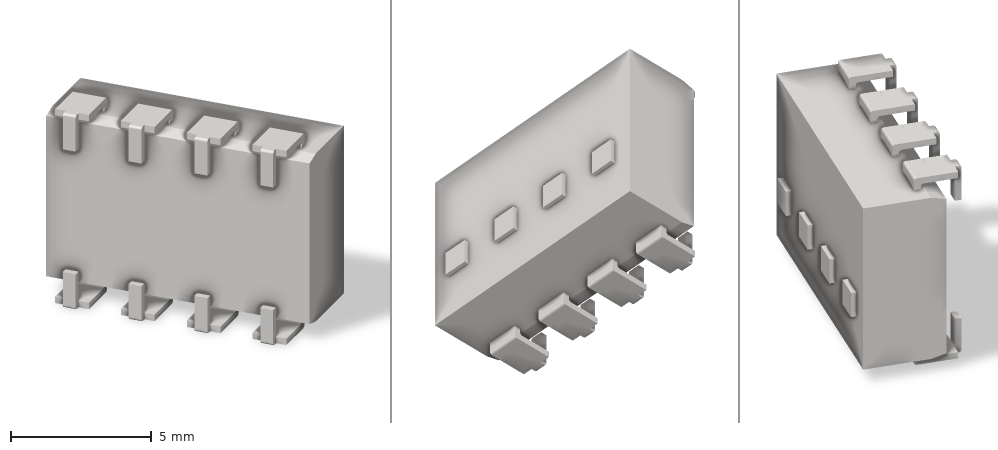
import cadquery as cq

body_length = 10.16
body_depth = 3.1
body_height = 6.58
bevel_depth = 0.57
bevel_drop = 0.14

position_count = 4
pitch = body_length / position_count

slider_size = 1.0
slider_projection = 0.2
slider_z = -1.04

lead_span = 7.62
lead_thickness = 0.25
lead_width = 1.3
foot_width = 0.5
foot_length = 1.4
foot_standoff = 0.89
lead_depth = 1.9
bend_radius = 0.1
lead_embed = 0.2

lead_top = lead_span / 2
root_back = lead_depth - foot_standoff
foot_back = lead_thickness - foot_standoff


def make_body():
    """Block whose front top and bottom edges carry a shallow bevel."""
    half_height = body_height / 2
    front_half_height = half_height - bevel_drop
    outline = [
        (0, -front_half_height),
        (bevel_depth, -half_height),
        (body_depth, -half_height),
        (body_depth, half_height),
        (bevel_depth, half_height),
        (0, front_half_height),
    ]
    return cq.Workplane("YZ").polyline(outline).close().extrude(body_length / 2, both=True)


def lead_slab(width, y_front, y_back, z_low):
    """Block reaching from z_low up to the outer face of the upper leads."""
    return cq.Workplane("XY").box(
        width, y_back - y_front, lead_top - z_low, centered=(True, False, False)
    ).translate((0, y_front, z_low))


def make_upper_lead():
    """Wide root and shelf, then a narrow foot bent back over the front face."""
    root_bottom = body_height / 2 - lead_embed
    shelf_bottom = lead_top - lead_thickness

    wide_part = lead_slab(lead_width, foot_back, root_back, root_bottom)
    wide_gap = lead_slab(lead_width, foot_back, root_back - lead_thickness, root_bottom)
    wide_gap = wide_gap.translate((0, 0, -lead_thickness))
    wide_gap = wide_gap.edges("|X").edges(">Z").edges(">Y").fillet(bend_radius)
    wide_part = wide_part.edges("|X").edges(">Z").edges(">Y").fillet(bend_radius).cut(wide_gap)

    foot = lead_slab(foot_width, -foot_standoff, foot_back, lead_top - foot_length)
    foot = foot.edges("|X").edges(">Z").edges("<Y").fillet(bend_radius)

    inner_bend = (
        cq.Workplane("YZ")
        .moveTo(foot_back, shelf_bottom)
        .lineTo(foot_back + bend_radius, shelf_bottom)
        .radiusArc((foot_back, shelf_bottom - bend_radius), -bend_radius)
        .close()
        .extrude(foot_width / 2, both=True)
    )
    return wide_part.union(foot).union(inner_bend)


def make_slider():
    """Square slider on the back face."""
    return cq.Workplane("XY").box(
        slider_size, slider_projection, slider_size, centered=(True, False, True)
    ).translate((0, body_depth, slider_z))


upper_lead = make_upper_lead()
lower_lead = upper_lead.mirror("XY")
slider = make_slider()

result = make_body()
for index in range(position_count):
    x = (index - (position_count - 1) / 2) * pitch
    for feature in (upper_lead, lower_lead, slider):
        result = result.union(feature.translate((x, 0, 0)))